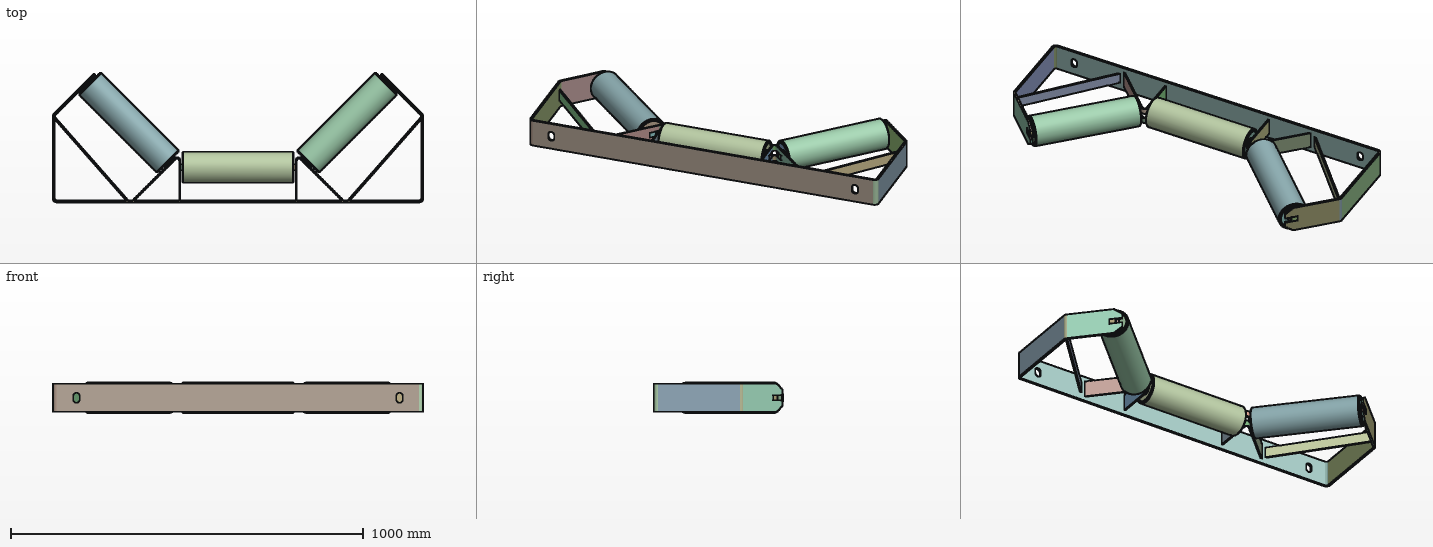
import math

import cadquery as cq


FRAME_WIDTH = 1050.0
STRAP_HEIGHT = 80.0
STRAP_THICKNESS = 6.0
STRAP_BEND_RADIUS = 12.0
ARM_BEND_Y = 249.0
ARM_LENGTH = 165.0
ARM_ANGLE = 45.0
ARM_CORNER_CUT_LENGTH = 23.0
ARM_CORNER_CUT_HEIGHT = 17.0

MOUNT_SLOT_X = 458.0
MOUNT_SLOT_WIDTH = 18.0
MOUNT_SLOT_LENGTH = 28.0

ROLLER_DIAMETER = 89.0
ROLLER_LENGTH = 315.0
ROLLER_CHAMFER = 3.0
ROLLER_GAP = 5.5
ROLLER_TILT = 45.0
CENTRE_ROLLER_Y = 100.0
SIDE_ROLLER_TOP_Y = 367.39
RECESS_DIAMETER = 76.0
RECESS_DEPTH = 3.0
HUB_DIAMETER = 36.0
SHAFT_WIDTH = 18.0
SHAFT_THICKNESS = 15.0

BRACKET_THICKNESS = 4.0
BRACKET_HEIGHT = 50.0
BRACKET_BEND_RADIUS = 10.0
BRACKET_PEAK_Y = 142.5

BRACE_THICKNESS = 5.0
BRACE_HEIGHT = 32.0
BRACE_TOP_Y = 239.0
BRACE_FOOT_X = 314.0

HALF_WIDTH = FRAME_WIDTH / 2
UPRIGHT_INNER_X = HALF_WIDTH - STRAP_THICKNESS
HALF_ROLLER = ROLLER_LENGTH / 2
ROLLER_RADIUS = ROLLER_DIAMETER / 2
SEAT_DISTANCE = HALF_ROLLER + ROLLER_GAP
SHAFT_LENGTH = 2 * (SEAT_DISTANCE + BRACKET_THICKNESS)
DIAGONAL = math.sqrt(0.5)

SLOPE_OUTER_SUM = SEAT_DISTANCE + BRACKET_PEAK_Y
SLOPE_INNER_SUM = SLOPE_OUTER_SUM - BRACKET_THICKNESS / DIAGONAL

SIDE_ROLLER_Y = SIDE_ROLLER_TOP_Y - (HALF_ROLLER + ROLLER_RADIUS - ROLLER_CHAMFER) * DIAGONAL
SIDE_ROLLER_X = SLOPE_OUTER_SUM + SEAT_DISTANCE / DIAGONAL - SIDE_ROLLER_Y


def bar(outline, height):
    """A bar standing on edge, centred on Z = 0."""
    return cq.Workplane("XY").polyline(outline).close().extrude(height / 2, both=True)


def round_bend(body, corner, radius):
    """Round the vertical edge that stands at the given corner."""
    x, y = corner
    reach = 0.5
    near_corner = cq.selectors.BoxSelector(
        (x - reach, y - reach, -reach), (x + reach, y + reach, reach)
    )
    return body.edges("|Z").edges(near_corner).fillet(radius)


def mirrored(body):
    return body.mirror("YZ")


def at_centre_roller(body):
    return body.translate((0, CENTRE_ROLLER_Y, 0))


def at_right_roller(body):
    turned = body.rotate((0, 0, 0), (0, 0, 1), ROLLER_TILT)
    return turned.translate((SIDE_ROLLER_X, SIDE_ROLLER_Y, 0))


def make_roller():
    """A drum along X with a ring recess in each end and a flat-sided shaft through it."""
    drum = cq.Workplane("YZ").circle(ROLLER_RADIUS).extrude(ROLLER_LENGTH)
    drum = drum.translate((-HALF_ROLLER, 0, 0))
    drum = drum.faces("<X or >X").edges().chamfer(ROLLER_CHAMFER)
    recess = (
        cq.Workplane("YZ", origin=(HALF_ROLLER - RECESS_DEPTH, 0, 0))
        .circle(RECESS_DIAMETER / 2)
        .circle(HUB_DIAMETER / 2)
        .extrude(RECESS_DEPTH)
    )
    shaft = cq.Workplane("XY").box(SHAFT_LENGTH, SHAFT_WIDTH, SHAFT_THICKNESS)
    return drum.cut(recess).cut(mirrored(recess)).union(shaft)


def make_arm_corner_cut(tip, along):
    """Two wedges that take the upper and lower corners off the right-hand arm's free end."""
    half_height = STRAP_HEIGHT / 2
    plane = cq.Plane(origin=(*tip, 0), xDir=(-along[0], -along[1], 0), normal=(-along[1], along[0], 0))
    upper = [
        (0, half_height - ARM_CORNER_CUT_HEIGHT),
        (0, half_height),
        (ARM_CORNER_CUT_LENGTH, half_height),
    ]
    wedge = cq.Workplane(plane).polyline(upper).close().extrude(2 * STRAP_THICKNESS, both=True)
    return wedge.union(wedge.mirror("XY"))


def make_half_strap():
    t = STRAP_THICKNESS
    angle = math.radians(ARM_ANGLE)
    along = (-math.cos(angle), math.sin(angle))
    inward = (-math.sin(angle), -math.cos(angle))
    turn = math.pi / 2 - angle
    base_outer = (HALF_WIDTH, 0)
    base_inner = (UPRIGHT_INNER_X, t)
    bend_outer = (HALF_WIDTH, ARM_BEND_Y)
    bend_inner = (UPRIGHT_INNER_X, ARM_BEND_Y - t * math.tan(turn / 2))
    tip_outer = (HALF_WIDTH + ARM_LENGTH * along[0], ARM_BEND_Y + ARM_LENGTH * along[1])
    tip_inner = (tip_outer[0] + t * inward[0], tip_outer[1] + t * inward[1])
    outline = [(0, 0), base_outer, bend_outer, tip_outer, tip_inner, bend_inner, base_inner, (0, t)]

    strap = bar(outline, STRAP_HEIGHT)
    for corner in (base_outer, bend_outer):
        strap = round_bend(strap, corner, STRAP_BEND_RADIUS)
    for corner in (base_inner, bend_inner):
        strap = round_bend(strap, corner, STRAP_BEND_RADIUS - t)
    mount_slot = (
        cq.Workplane("XZ", origin=(MOUNT_SLOT_X, 0, 0))
        .slot2D(MOUNT_SLOT_LENGTH, MOUNT_SLOT_WIDTH, 90)
        .extrude(-t)
    )
    return strap.cut(make_arm_corner_cut(tip_outer, along)).cut(mount_slot)


def make_bracket():
    leg_face_x = SEAT_DISTANCE
    leg_back_x = leg_face_x + BRACKET_THICKNESS
    foot_y = STRAP_THICKNESS
    peak_outer = (leg_face_x, SLOPE_OUTER_SUM - leg_face_x)
    peak_inner = (leg_back_x, SLOPE_INNER_SUM - leg_back_x)
    outline = [
        (leg_face_x, foot_y),
        peak_outer,
        (SLOPE_OUTER_SUM - foot_y, foot_y),
        (SLOPE_INNER_SUM - foot_y, foot_y),
        peak_inner,
        (leg_back_x, foot_y),
    ]
    bracket = bar(outline, BRACKET_HEIGHT)
    bracket = round_bend(bracket, peak_outer, BRACKET_BEND_RADIUS)
    return round_bend(bracket, peak_inner, BRACKET_BEND_RADIUS - BRACKET_THICKNESS)


def make_brace():
    foot_y = STRAP_THICKNESS
    slope = math.atan2(BRACE_TOP_Y - foot_y, UPRIGHT_INNER_X - BRACE_FOOT_X)
    half_foot = BRACE_THICKNESS / 2 / math.sin(slope)
    half_top = BRACE_THICKNESS / 2 / math.cos(slope)
    outline = [
        (BRACE_FOOT_X - half_foot, foot_y),
        (BRACE_FOOT_X + half_foot, foot_y),
        (UPRIGHT_INNER_X, BRACE_TOP_Y - half_top),
        (UPRIGHT_INNER_X, BRACE_TOP_Y + half_top),
    ]
    return bar(outline, BRACE_HEIGHT)


def make_shaft_seat():
    """Cutter for a pair of open-topped slots that hold the shaft of a roller lying along X."""
    length = 2 * SHAFT_LENGTH - ROLLER_LENGTH
    depth = ROLLER_DIAMETER
    seat = cq.Workplane("XY").box(length, depth, SHAFT_THICKNESS)
    return seat.translate((0, (depth - SHAFT_WIDTH) / 2, 0))


def make_frame():
    half = make_half_strap().union(make_bracket()).union(make_brace())
    half = half.cut(at_centre_roller(make_shaft_seat()))
    half = half.cut(at_right_roller(make_shaft_seat()))
    return half.union(mirrored(half))


frame = make_frame()
centre_roller = at_centre_roller(make_roller())
right_roller = at_right_roller(make_roller())
side_rollers = [right_roller, mirrored(right_roller)]

result = cq.Compound.makeCompound(
    [frame.val(), centre_roller.val(), *[roller.val() for roller in side_rollers]]
)